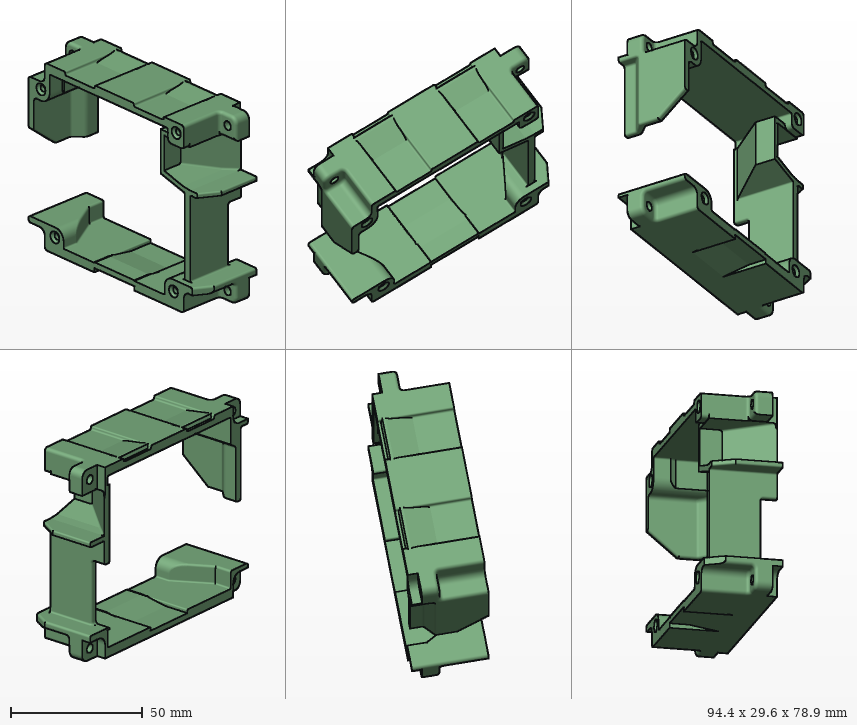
import cadquery as cq
import math

length = 94.4
depth = 29.6
height = 78.9
corner_radius = 3.0

bar_thickness = 4.1
window_top = height - bar_thickness

tab_front = 18.8
tab_back = 25.8
mount_width = 9.0
mount_hole_inset = 4.6
mount_hole_diameter = 3.6
pocket_radius = 1.4
pocket_corner_radius = 2.8
rear_pocket_radius = 3.8
outside = 4.7
upper_left_pocket_bottom = 70.1
upper_right_tab_bottom = 69.0
lower_left_pocket_top = 8.7
lower_right_pocket_top = 9.1
upper_right_pocket_bottom = upper_right_tab_bottom - outside
upper_flap_top = 70.9
lower_rear_pocket_top = 9.4

boss_radius = 4.8
lower_boss_round = 4.3
upper_left_boss = (6.9, 66.9)
upper_right_boss = (81.2, 74.5)
lower_left_boss = (14.5, 7.2)
lower_right_boss = (79.7, 7.2)
upper_right_boss_left = 76.7
upper_right_boss_radius = 1.9
lower_left_shelf_top = 11.4
lower_right_shelf_top = 12.2
countersink_diameter = 4.9
countersink_depth = 1.1
screw_bore_diameter = 2.6
screw_bore_depth = 7.55
pilot_diameter = 1.4
pilot_depth = 9.4
cone_rim = 0.01

lean_angle = 30.0
lean_start = 6.6
left_rear_wall = 10.4
right_rear_wall = 83.8

leg_bottom = 38.7
leg_thickness = 3.0
leg_step = 4.3
leg_rear_thickness = 3.0
leg_step_start = 20.7
leg_step_run = 3.9
leg_step_top = 68.9
leg_inner_step_start = 19.35
leg_bend_radius = 1.4
leg_notch_depth = 12.0
leg_notch_height = 9.7
leg_edge_radius = 0.9
leg_step_radius = 0.9
leg_root_radius = 1.7

column_front = 3.0
column_left = 82.7
column_right = 85.8
column_notch_front = 23.3
column_radius = 1.1
column_edge_radius = 0.85
column_foot_radius = 0.8
column_top_radius = 0.7
duct_left = 69.5
duct_wall = 1.9
duct_top = 71.0
duct_left_bottom = 52.3
duct_ceiling = 68.9
duct_floor_bend = (81.75, 51.3)
guide_bottom = 48.7
guide_thickness = 2.1
duct_lean_start = 11.7
duct_lean_angle = 39.0
duct_corner_radius = 0.85
shelf_bevel_angle = 30.0
guide_bevel_start = 89.7
lower_bevel_start = 90.15
lower_left_rim_radius = 0.9
lower_left_shelf_radius = 1.2
lower_right_shelf_radius = 0.9
guide_edge_radius = 0.7
post_root_radius = 0.7

recess_centres = (28.3, 66.1)
recess_half_width = 8.8
recess_lip_radius = 0.7
recess_floor_radius = 0.8
recess_depth = recess_lip_radius + recess_floor_radius
recess_flat_end = 16.2
recess_ramp_end = 26.4
rear_recess_front = 27.7
rear_recess_drop = 0.5
offset_panel_half_width = 10.95
offset_panel_thickness = 2.55
offset_panel_lift = 1.8
offset_panel_edge_radius = 0.6
offset_ramp_start = 7.55
offset_ramp_end = 19.1


def block(x0, x1, y0, y1, z0, z1):
    return cq.Workplane("XY").box(x1 - x0, y1 - y0, z1 - z0, centered=False).translate((x0, y0, z0))


def front_prism(points, y0, y1):
    """Extrude an X-Z outline from y0 back to y1."""
    return cq.Workplane("XZ", origin=(0, y0, 0)).polyline(points).close().extrude(-(y1 - y0))


def plan_prism(points, z0, z1):
    """Extrude an X-Y outline from z0 up to z1."""
    return cq.Workplane("XY", origin=(0, 0, z0)).polyline(points).close().extrude(z1 - z0)


def side_prism(points, x0, x1):
    """Extrude a Y-Z outline from x0 to x1."""
    return cq.Workplane("YZ", origin=(x0, 0, 0)).polyline(points).close().extrude(x1 - x0)


def cylinder(centre, diameter, y0, y1):
    x, z = centre
    return cq.Workplane("XZ", origin=(x, y0, z)).circle(diameter / 2).extrude(-(y1 - y0))


def region(x0, x1, y0, y1, z0, z1):
    """Select what lies in a box, with a small allowance on every side."""
    t = 0.01
    return cq.selectors.BoxSelector((x0 - t, y0 - t, z0 - t), (x1 + t, y1 + t, z1 + t), boundingbox=True)


def upright_edge(x, y):
    return region(x, x, y, y, 0, height)


def lean_envelope(side_x, rear_x, start, outer_x, angle):
    """Plan region between outer_x and an inner side that leans from side_x to rear_x."""
    run = abs(rear_x - side_x) / math.tan(math.radians(angle))
    points = [(outer_x, 0), (side_x, 0), (side_x, start)]
    if start + run >= depth:
        reach = (depth - start) * math.tan(math.radians(angle))
        points.append((side_x + math.copysign(reach, rear_x - side_x), depth))
    else:
        points.append((rear_x, start + run))
        points.append((rear_x, depth))
    points.append((outer_x, depth))
    return plan_prism(points, 0, height)


def top_and_bottom_bars():
    bars = block(0, length, 0, depth, 0, bar_thickness)
    return bars.union(block(0, length, 0, depth, window_top, height))


def left_posts():
    wall = upper_left_boss[0] + boss_radius
    bottom = upper_left_boss[1] - boss_radius
    upper = block(0, wall, 0, depth, bottom, window_top + bar_thickness / 2)
    upper = upper.edges("|Y").edges(">X and <Z").fillet(boss_radius)
    upper = upper.intersect(lean_envelope(wall, left_rear_wall, lean_start, 0, lean_angle))

    wall = lower_left_boss[0] + boss_radius
    lower = block(0, wall, 0, depth, 0, lower_left_shelf_top)
    lower = lower.edges("|Y").edges(">X and >Z").fillet(lower_boss_round)
    lower = lower.edges("|Y").edges("<X and >Z").fillet(lower_left_shelf_radius)
    lower = lower.intersect(lean_envelope(wall, left_rear_wall, lean_start, 0, lean_angle))
    arc_bottom = lower_left_shelf_top - lower_boss_round
    leaning_rim = region(left_rear_wall, wall, lean_start, depth, arc_bottom, lower_left_shelf_top)
    lower = lower.edges(leaning_rim).edges("not(|X)").fillet(lower_left_rim_radius)
    return upper.union(lower)


def right_posts():
    upper = block(
        upper_right_boss_left, length, 0, depth, upper_right_tab_bottom, window_top + bar_thickness / 2
    )
    upper = upper.edges("|Y").edges("<X and <Z").fillet(upper_right_boss_radius)

    wall = lower_right_boss[0] - boss_radius
    top = lower_right_shelf_top
    lower = block(wall, length, 0, depth, 0, top)
    lower = lower.edges("|Y").edges("<X and >Z").fillet(lower_boss_round)
    bevel_end = (length - lower_bevel_start) / math.tan(math.radians(shelf_bevel_angle))
    bevel = plan_prism([(lower_bevel_start, 0), (length, 0), (length, bevel_end)], 0, top)
    lower = lower.cut(bevel)
    shelf_rim = region(lower_bevel_start, length, 0, depth, top, top)
    lower = lower.edges(shelf_rim).edges("not(|X)").fillet(lower_right_shelf_radius)

    envelope = lean_envelope(wall, right_rear_wall, lean_start, length, lean_angle)
    return upper.union(lower).intersect(envelope)


def left_leg():
    rear_inner = leg_step + leg_rear_thickness
    inner_rise = rear_inner - leg_thickness
    plan = [
        (0, 0),
        (0, depth),
        (rear_inner, depth),
        (rear_inner, leg_inner_step_start + inner_rise),
        (leg_thickness, leg_inner_step_start),
        (leg_thickness, 0),
    ]
    leg = plan_prism(plan, leg_bottom, upper_left_boss[1])
    bulge = (rear_inner, leg_inner_step_start + inner_rise)
    inner_bend = (leg_thickness, leg_inner_step_start)
    leg = leg.edges(upright_edge(*bulge)).fillet(2 * leg_bend_radius)
    return leg.edges(upright_edge(*inner_bend)).fillet(leg_bend_radius)


def leg_step_cut():
    step_end = leg_step_start + leg_step_run
    plan = [(0, leg_step_start), (leg_step, step_end), (leg_step, depth), (0, depth)]
    cut = plan_prism(plan, leg_bottom, leg_step_top)
    cut = cut.edges("|Z").edges(">X").edges("<Y").fillet(leg_bend_radius)
    return cut.faces(">Z").edges("not(|X or <X)").fillet(leg_step_radius)


def leg_notch_cut():
    return side_prism(
        [(0, leg_bottom), (leg_notch_depth, leg_bottom), (0, leg_bottom + leg_notch_height)], 0, leg_thickness
    )


def duct_outline(inset):
    """Duct section; inset 0 gives the outside, duct_wall gives the opening."""
    guide_top = guide_bottom + guide_thickness
    if inset:
        return [
            (duct_left + inset, duct_ceiling),
            (duct_left + inset, duct_left_bottom + inset),
            duct_floor_bend,
            (column_right, guide_top),
            (column_right, duct_ceiling),
        ]
    return [
        (duct_left, duct_top),
        (duct_left, duct_left_bottom),
        (column_left, guide_bottom),
        (column_right, guide_bottom),
        (column_right, duct_top),
    ]


def duct():
    """Return the duct's outer body and the opening to cut from it."""
    shell = front_prism(duct_outline(0), column_front, depth)
    outside_lean = lean_envelope(duct_left, column_left, duct_lean_start, length, duct_lean_angle)
    opening = front_prism(duct_outline(duct_wall), column_front, depth)
    inner_left = duct_left + duct_wall
    inside_lean = lean_envelope(inner_left, column_right, duct_lean_start, length, duct_lean_angle)
    opening = opening.intersect(inside_lean)
    lean = math.radians(duct_lean_angle)
    lean_normal = cq.Vector(-math.cos(lean), math.sin(lean), 0)
    lean_side = opening.faces(cq.selectors.ParallelDirSelector(lean_normal))
    opening = lean_side.edges("not(|Z)").fillet(duct_corner_radius)
    return shell.intersect(outside_lean), opening


def guide_shelf():
    bevel_end = column_front + (length - guide_bevel_start) / math.tan(math.radians(shelf_bevel_angle))
    plan = [
        (column_left, column_front),
        (guide_bevel_start, column_front),
        (length, bevel_end),
        (length, depth),
        (column_left, depth),
    ]
    shelf = plan_prism(plan, guide_bottom, guide_bottom + guide_thickness)
    rounded_sides = cq.selectors.BoxSelector(
        (guide_bevel_start, column_front, 0), (length + 0.9, depth - 0.9, height)
    )
    return shelf.edges("#Z").edges(rounded_sides).fillet(guide_edge_radius)


def column():
    body = block(column_left, column_right, column_front, depth, lower_right_shelf_top - 0.9, duct_top)
    notch = block(column_left, column_right, column_notch_front, depth, lower_right_shelf_top, leg_bottom)
    notch = notch.edges("|X").edges("<Y").fillet(column_radius)
    body = body.cut(notch)
    notch_rims = [
        region(x, x, column_notch_front, depth, lower_right_shelf_top, leg_bottom)
        for x in (column_left, column_right)
    ]
    rim_edges = body.edges(notch_rims[0] + notch_rims[1]).edges("not(>Y and |Z)")
    return rim_edges.fillet(column_edge_radius)


def mount_pocket(left, bottom, y0, y1, radius, z_edge):
    """Corner pocket running out through a side and the top or bottom."""
    x0, x1 = (-outside, mount_width) if left else (length - mount_width, length + outside)
    z0, z1 = (-outside, z_edge) if bottom else (z_edge, height + outside)
    pocket = block(x0, x1, y0, y1, z0, z1)
    corner = (">X" if left else "<X") + " and " + (">Z" if bottom else "<Z")
    return pocket.edges("|Y").edges(corner).fillet(radius)


def front_pocket(left, bottom, z_edge):
    pocket = mount_pocket(left, bottom, 0, tab_front, pocket_corner_radius, z_edge)
    return pocket.faces(">Y").edges().fillet(pocket_radius)


def round_pocket_rim(body, left, bottom, z_edge):
    """Round the outer rim of a front pocket and of the mount tab behind it."""
    side = 0 if left else length
    end = 0 if bottom else height
    x0, x1 = (0, mount_width) if left else (length - mount_width, length)
    z0, z1 = (0, z_edge) if bottom else (z_edge, height)
    corner_x0, corner_x1 = (0, corner_radius) if left else (length - corner_radius, length)
    corner_z0, corner_z1 = (0, corner_radius) if bottom else (height - corner_radius, height)
    rim = region(side, side, 0, tab_front, z0, z1)
    rim = rim + region(x0, x1, 0, tab_front, end, end)
    rim = rim + region(corner_x0, corner_x1, tab_front, tab_front, corner_z0, corner_z1)
    if not left and not bottom:
        tab_bottom = upper_right_tab_bottom
        rim = rim + region(x0, x1, 0, tab_front, tab_bottom, tab_bottom)
    return body.edges(rim).fillet(pocket_radius)


def latch_recess(centre):
    half = recess_half_width
    lip = recess_lip_radius
    foot = recess_floor_radius
    c = math.sqrt(0.5)
    floor = height - recess_depth
    profile = (
        cq.Workplane("XZ", origin=(centre, 0, 0))
        .moveTo(-half, height)
        .threePointArc((-half + lip * c, height - lip + lip * c), (-half + lip, height - lip))
        .threePointArc((-half + lip + foot - foot * c, floor + foot - foot * c), (-half + lip + foot, floor))
        .lineTo(half - lip - foot, floor)
        .threePointArc((half - lip - foot + foot * c, floor + foot - foot * c), (half - lip, height - lip))
        .threePointArc((half - lip * c, height - lip + lip * c), (half, height))
        .close()
    )
    groove = profile.extrude(-depth)
    ramp = side_prism(
        [(0, height), (0, floor), (recess_flat_end, floor), (recess_ramp_end, height)], 0, length
    )
    rear_slot = side_prism(
        [
            (rear_recess_front, height),
            (rear_recess_front + recess_floor_radius, floor),
            (depth, floor - rear_recess_drop),
            (depth, height),
        ],
        0,
        length,
    )
    return groove.intersect(ramp.union(rear_slot))


def offset_panel():
    t = offset_panel_thickness
    lift = offset_panel_lift
    section = [
        (0, lift),
        (offset_ramp_start, lift),
        (offset_ramp_end, 0),
        (depth, 0),
        (depth, t),
        (offset_ramp_end, t),
        (offset_ramp_start, lift + t),
        (0, lift + t),
    ]
    middle = length / 2
    return side_prism(section, middle - offset_panel_half_width, middle + offset_panel_half_width)


def screw_hole(centre):
    sink = cylinder(centre, countersink_diameter, 0, countersink_depth)
    cone_width = (countersink_diameter - screw_bore_diameter) / 2
    sink = sink.faces(">Y").edges().chamfer(countersink_depth - cone_rim, cone_width)
    bore = cylinder(centre, screw_bore_diameter, 0, screw_bore_depth)
    return sink.union(bore).union(cylinder(centre, pilot_diameter, 0, pilot_depth))


def round_leg(body):
    """Round the rim of the leg's step, its lower end and its root at the boss."""
    step_rim = region(0, 0, leg_step_start, depth, leg_bottom, leg_step_top)
    body = body.edges(step_rim).fillet(leg_step_radius)

    rear_inner = leg_step + leg_rear_thickness
    end_rim = region(0, rear_inner, 0, depth, leg_bottom, leg_bottom)
    for x in (0, leg_thickness):
        end_rim = end_rim + region(x, x, 0, leg_notch_depth, leg_bottom, leg_bottom + leg_notch_height)
    body = body.edges(end_rim).edges("not(|X)").edges("not(|Z)").fillet(leg_edge_radius)

    root_z = upper_left_boss[1] - boss_radius
    root = region(leg_thickness, leg_thickness, 0, leg_inner_step_start, root_z, root_z)
    return body.edges(root).fillet(leg_root_radius)


def round_column(body):
    """Blend the column into the lower shelf and the guide shelf."""
    for level, radius in (
        (lower_right_shelf_top, column_foot_radius),
        (guide_bottom, column_top_radius),
    ):
        joint = region(column_left, column_right, column_front, depth, level, level)
        body = body.edges(joint).edges("|Y").fillet(radius)
    return body


def fit_offset_panel(body):
    """Swap the middle of the bottom bar for the stepped panel."""
    x0 = length / 2 - offset_panel_half_width
    x1 = length / 2 + offset_panel_half_width
    body = body.cut(block(x0, x1, 0, depth, 0, bar_thickness)).union(offset_panel())
    bar_edges = [
        region(x, x, offset_ramp_start, depth, bar_thickness, bar_thickness) for x in (x0, x1)
    ]
    return body.edges(bar_edges[0] + bar_edges[1]).fillet(offset_panel_edge_radius)


body = top_and_bottom_bars().union(left_posts()).union(right_posts())
for level in (bar_thickness, window_top):
    post_roots = region(0, length, 0, depth, level, level)
    body = body.edges(post_roots).edges("not(|X)").fillet(post_root_radius)

duct_shell, duct_opening = duct()
body = body.union(left_leg()).union(column()).union(duct_shell).union(guide_shelf())
body = body.cut(duct_opening).cut(leg_step_cut()).cut(leg_notch_cut())
body = round_column(round_leg(body))

for side in ("<X", ">X"):
    for end in ("<Z", ">Z"):
        body = body.edges("|Y").edges(side + " and " + end).fillet(corner_radius)

mounts = (
    (True, False, upper_left_pocket_bottom, upper_flap_top),
    (False, False, upper_right_pocket_bottom, upper_right_pocket_bottom),
    (True, True, lower_left_pocket_top, lower_rear_pocket_top),
    (False, True, lower_right_pocket_top, lower_rear_pocket_top),
)
for left, bottom, front_level, rear_level in mounts:
    body = body.cut(front_pocket(left, bottom, front_level))
    body = round_pocket_rim(body, left, bottom, front_level)
    body = body.cut(mount_pocket(left, bottom, tab_back, depth, rear_pocket_radius, rear_level))
    hole_x = mount_hole_inset if left else length - mount_hole_inset
    hole_z = mount_hole_inset if bottom else height - mount_hole_inset
    body = body.cut(cylinder((hole_x, hole_z), mount_hole_diameter, tab_front, tab_back))

for centre in recess_centres:
    body = body.cut(latch_recess(centre))

body = fit_offset_panel(body)

for centre in (upper_left_boss, upper_right_boss, lower_left_boss, lower_right_boss):
    body = body.cut(screw_hole(centre))

result = body